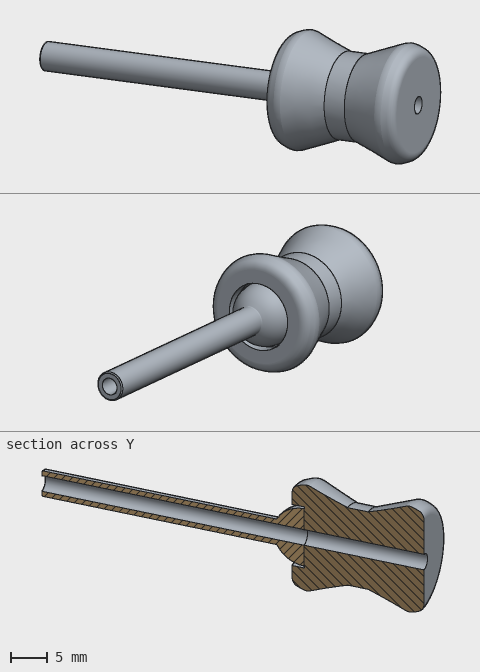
import cadquery as cq
import math

total_length = 56.75
bore_radius = 1.2

tube_radius = 2.05
tip_chamfer = 0.15
root_fillet = 0.15
dome_radius = 4.55
dome_base_x = 38.95

handle_length = 19.65
rim_apex_radius = 8.45
rim_apex_inset = 2.15
rim_rounding = 1.35
waist_radius = 6.15
waist_length = 3.05
socket_radius = 4.75

handle_start_x = total_length - handle_length
handle_middle_x = total_length - handle_length / 2
socket_depth = dome_base_x - handle_start_x


def turn_about_x(profile):
    """Revolve a profile drawn in the XY plane (X along the axis, Y radial)."""
    return profile.revolve(360, (0, 0, 0), (1, 0, 0))


def cylinder_along_x(start_x, length, radius):
    return cq.Workplane("YZ", origin=(start_x, 0, 0)).circle(radius).extrude(length)


def make_tube():
    """Hollow tube ending in a hemispherical dome that sits on the socket floor."""
    diagonal = dome_radius * math.sqrt(0.5)
    dome = turn_about_x(
        cq.Workplane("XY")
        .moveTo(dome_base_x - dome_radius, 0)
        .threePointArc((dome_base_x - diagonal, diagonal), (dome_base_x, dome_radius))
        .lineTo(dome_base_x, 0)
        .close()
    )
    stem = cylinder_along_x(0, dome_base_x, tube_radius).faces("<X").chamfer(tip_chamfer)
    root_x = dome_base_x - math.sqrt(dome_radius**2 - tube_radius**2)
    root_edge = cq.selectors.BoxSelector(
        (root_x - root_fillet, -dome_radius, -dome_radius),
        (root_x + root_fillet, dome_radius, dome_radius),
        boundingbox=True,
    )
    body = stem.union(dome).edges(root_edge).fillet(root_fillet)
    return body.cut(cylinder_along_x(0, dome_base_x, bore_radius))


def make_handle():
    """Waisted grip with rounded conical rims, a socket for the dome and a through bore."""
    flank_length = (handle_length - waist_length) / 2 - rim_apex_inset
    flank_slope = (rim_apex_radius - waist_radius) / flank_length
    end_radius = rim_apex_radius - rim_apex_inset * flank_slope
    grip = turn_about_x(
        cq.Workplane("XY")
        .moveTo(handle_start_x, 0)
        .lineTo(handle_start_x, end_radius)
        .lineTo(handle_start_x + rim_apex_inset, rim_apex_radius)
        .lineTo(handle_middle_x - waist_length / 2, waist_radius)
        .lineTo(handle_middle_x + waist_length / 2, waist_radius)
        .lineTo(total_length - rim_apex_inset, rim_apex_radius)
        .lineTo(total_length, end_radius)
        .lineTo(total_length, 0)
        .close()
    )
    rim_edges = grip.edges("%CIRCLE").filter(lambda edge: edge.radius() > (waist_radius + end_radius) / 2)
    grip = grip.newObject(rim_edges.vals()).fillet(rim_rounding)
    socket = cylinder_along_x(handle_start_x, socket_depth, socket_radius)
    bore = cylinder_along_x(handle_start_x, handle_length, bore_radius)
    return grip.cut(socket).cut(bore)


tube = make_tube()
handle = make_handle()

result = cq.Compound.makeCompound([tube.val(), handle.val()])